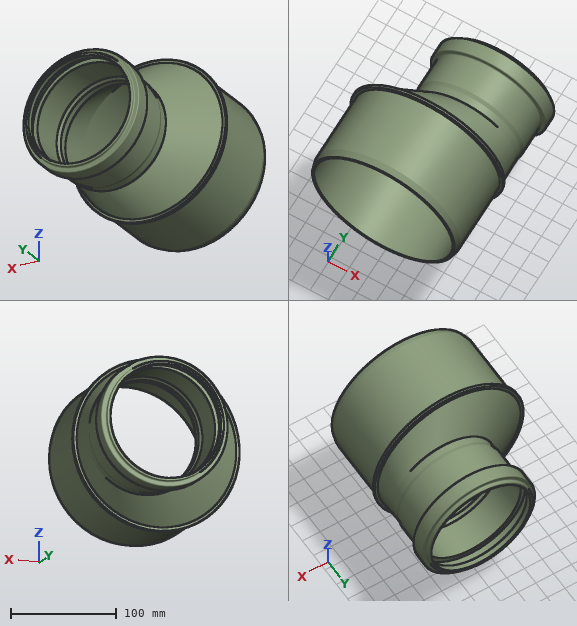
import cadquery as cq


spigot_outer_d = 160.3
spigot_inner_d = 152.1
spigot_tip_d = 156.2
tip_taper_length = 7.2
flange_d = 167.0
flange_start = 81.2
flange_end = 84.4

neck_outer_d = 114.0
neck_inner_d = 106.0
cone_bore_narrow_d = 107.0
socket_outer_d = 116.5
socket_inner_d = 110.7
lip_outer_d = 116.8
bead_outer_d = 126.9
neck_start = 111.2
neck_end = 119.5
socket_start = 123.5
bead_start = 156.7
bead_end = 173.0
total_length = 176.5
bead_round = 1.0
lip_round = 0.7

axis_offset = (spigot_outer_d - neck_outer_d) / 2
cone_bore_offset = (spigot_inner_d - cone_bore_narrow_d) / 2
socket_wall = (socket_outer_d - socket_inner_d) / 2
bead_groove_d = bead_outer_d - 2 * socket_wall
lip_inner_d = lip_outer_d - 2 * socket_wall


def revolve_about_y(profile, axis_x):
    """Solid of revolution from (diameter, y) points, closed along its axis."""
    points = [(0, profile[0][1])]
    points += [(diameter / 2, y) for diameter, y in profile]
    points.append((0, profile[-1][1]))
    solid = cq.Workplane("XY").polyline(points).close().revolve(360, (0, 0), (0, 1))
    return solid.translate((axis_x, 0, 0))


def eccentric_cone(wide_d, wide_y, narrow_d, narrow_x):
    """Loft from a circle on the spigot axis to a smaller, offset circle at the neck."""
    return (
        cq.Workplane("XZ", origin=(0, wide_y, 0))
        .circle(wide_d / 2)
        .workplane(offset=wide_y - neck_start)
        .center(narrow_x, 0)
        .circle(narrow_d / 2)
        .loft(ruled=True)
    )


def edges_at_y(y):
    """Selector for the circular edges lying in one plane across the socket."""
    reach = bead_outer_d
    margin = 0.02
    return cq.selectors.BoxSelector(
        (axis_offset - reach, y - margin, -reach),
        (axis_offset + reach, y + margin, reach),
        boundingbox=True,
    )


spigot = revolve_about_y(
    [
        (spigot_tip_d, 0),
        (spigot_outer_d, tip_taper_length),
        (spigot_outer_d, flange_start),
        (flange_d, flange_start),
        (flange_d, flange_end),
    ],
    0,
)
socket = revolve_about_y(
    [
        (neck_outer_d, neck_start),
        (neck_outer_d, neck_end),
        (socket_outer_d, socket_start),
        (socket_outer_d, bead_start),
        (bead_outer_d, bead_start),
        (bead_outer_d, bead_end),
        (lip_outer_d, bead_end),
        (lip_outer_d, total_length),
    ],
    axis_offset,
)
for bead_side in (bead_start, bead_end):
    socket = socket.edges(edges_at_y(bead_side)).fillet(bead_round)
socket = socket.edges(edges_at_y(total_length)).fillet(lip_round)
cone = eccentric_cone(spigot_outer_d, flange_end, neck_outer_d, axis_offset)
outer_body = spigot.union(cone).union(socket)

spigot_bore = revolve_about_y([(spigot_inner_d, 0), (spigot_inner_d, flange_start)], 0)
socket_bore = revolve_about_y(
    [
        (neck_inner_d, neck_start),
        (neck_inner_d, neck_end),
        (socket_inner_d, socket_start),
        (socket_inner_d, bead_start + socket_wall),
        (bead_groove_d, bead_start + socket_wall),
        (bead_groove_d, bead_end - socket_wall),
        (lip_inner_d, bead_end - socket_wall),
        (lip_inner_d, total_length),
    ],
    axis_offset,
)
cone_bore = eccentric_cone(spigot_inner_d, flange_start, cone_bore_narrow_d, cone_bore_offset)

result = outer_body.cut(spigot_bore).cut(cone_bore).cut(socket_bore)